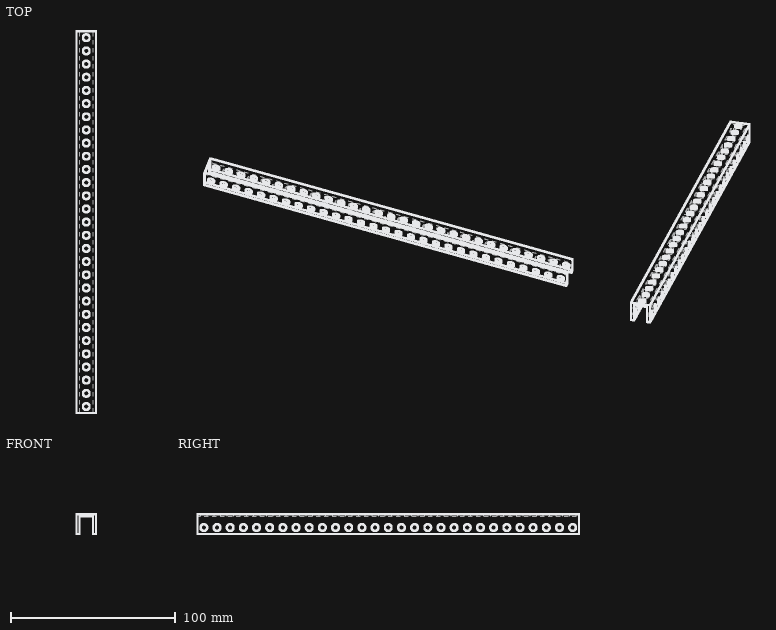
import cadquery as cq

length = 232.0
width = 12.0
height = 12.0
side_thickness = 2.0
web_thickness = 1.5

hole_count = 29
hole_pitch = length / hole_count
hole_diameter = 4.0
side_hole_height = 4.0


def channel():
    """U-shaped bar along Y, with its bottom edges on Z = 0."""
    bar = cq.Workplane("XY").box(width, length, height, centered=(True, True, False))
    slot_width = width - 2 * side_thickness
    slot_height = height - web_thickness
    slot = cq.Workplane("XY").box(slot_width, length, slot_height, centered=(True, True, False))
    return bar.cut(slot)


def web_holes():
    """Vertical cutters along the centre line of the web."""
    return (
        cq.Workplane("XY")
        .rarray(2.3, hole_pitch, 1, hole_count)
        .circle(hole_diameter / 2)
        .extrude(height)
    )


def side_holes():
    """Cutters along X that pass through both sides."""
    return (
        cq.Workplane("YZ")
        .center(0, side_hole_height)
        .rarray(hole_pitch, 2.3, hole_count, 1)
        .circle(hole_diameter / 2)
        .extrude(width / 2, both=True)
    )


result = channel().cut(web_holes()).cut(side_holes())